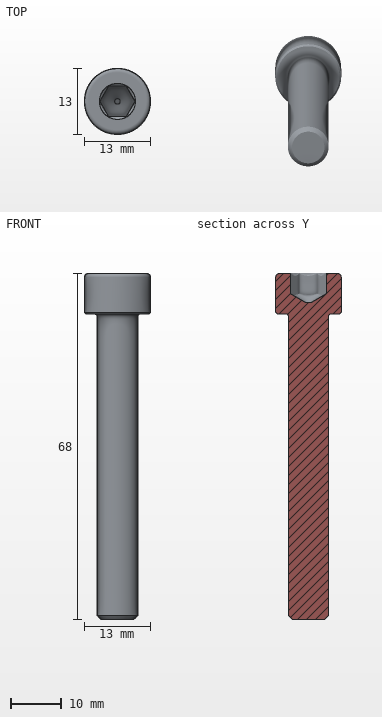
import cadquery as cq
import math

total_length = 68.0
head_diameter = 13.0
head_height = 8.0
shank_diameter = 8.0

head_top_fillet = 0.8
head_bottom_chamfer = 0.35
neck_fillet = 0.4
tip_chamfer = 0.8

hex_across_flats = 6.0
hex_depth = 4.0
mouth_diameter = 7.1
mouth_angle = 45.0
floor_flat_diameter = 1.1
floor_angle = 30.0

head_radius = head_diameter / 2
shank_radius = shank_diameter / 2
hex_across_corners = hex_across_flats / math.cos(math.radians(30))
head_bottom = total_length - head_height


def make_head():
    head = cq.Workplane("XY", origin=(0, 0, head_bottom)).circle(head_radius).extrude(head_height)
    head = head.faces(">Z").edges().fillet(head_top_fillet)
    return head.faces("<Z").edges().chamfer(head_bottom_chamfer)


def make_shank():
    shank = cq.Workplane("XY").circle(shank_radius).extrude(head_bottom)
    return shank.faces("<Z").edges().chamfer(tip_chamfer)


def make_neck():
    """Ring with a concave fillet between the shank and the head."""
    arc_offset = neck_fillet * (1 - math.sqrt(0.5))
    return (
        cq.Workplane("XZ")
        .moveTo(0, head_bottom)
        .lineTo(shank_radius + neck_fillet, head_bottom)
        .threePointArc(
            (shank_radius + arc_offset, head_bottom - arc_offset),
            (shank_radius, head_bottom - neck_fillet),
        )
        .lineTo(0, head_bottom - neck_fillet)
        .close()
        .revolve(360, (0, 0, 0), (0, 1, 0))
    )


def make_cone(top_z, top_diameter, bottom_diameter, slope_angle):
    """Downward cone whose wall slopes at the given angle from horizontal."""
    height = (top_diameter - bottom_diameter) / 2 * math.tan(math.radians(slope_angle))
    axis_start = cq.Vector(0, 0, top_z)
    down = cq.Vector(0, 0, -1)
    return cq.Workplane(cq.Solid.makeCone(top_diameter / 2, bottom_diameter / 2, height, axis_start, down))


def make_hexagon(depth):
    return cq.Workplane("XY", origin=(0, 0, total_length)).polygon(6, hex_across_corners).extrude(-depth)


def make_socket():
    """Hexagonal pocket whose conical floor starts at the hexagon's corners."""
    floor_cone = make_cone(total_length - hex_depth, hex_across_corners, floor_flat_diameter, floor_angle)
    floor = floor_cone.intersect(make_hexagon(head_height))
    mouth = make_cone(total_length, mouth_diameter, hex_across_flats, mouth_angle)
    return make_hexagon(hex_depth).union(floor).union(mouth)


result = make_head().union(make_shank()).union(make_neck()).cut(make_socket())